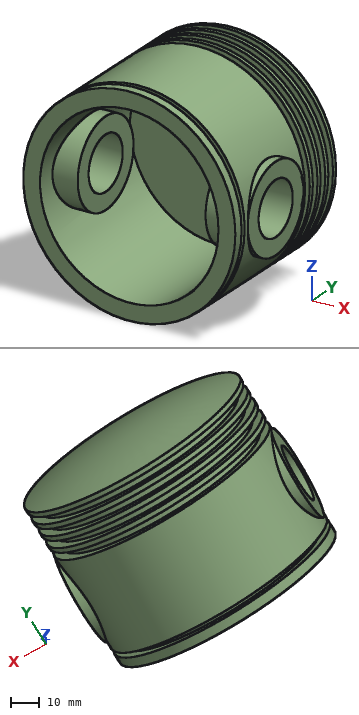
import cadquery as cq
import math

outer_radius = 44.0
wall_thickness = 7.0
bore_radius = outer_radius - wall_thickness
crown_edge_y = 65.0
dome_height = 5.19
bore_depth = crown_edge_y - wall_thickness

groove_depth = 4.0
land_width = 2.0
ring_groove_width = 3.0
ring_groove_count = 4
ring_groove_pitch = ring_groove_width + land_width
top_groove_end_y = crown_edge_y - land_width
skirt_groove_start_y = 4.0
skirt_groove_width = 2.0

pin_y = 26.0
pin_hole_diameter = 22.0
boss_diameter = 36.0
boss_length = 17.5


def make_domed_body():
    """Solid cylinder with a spherical crown, revolved about the Y axis."""
    mid_radius = outer_radius / 2
    sphere_radius = (outer_radius**2 + dome_height**2) / (2 * dome_height)
    sphere_center_y = crown_edge_y + dome_height - sphere_radius
    mid_y = sphere_center_y + math.sqrt(sphere_radius**2 - mid_radius**2)
    return (
        cq.Workplane("XY")
        .lineTo(outer_radius, 0)
        .lineTo(outer_radius, crown_edge_y)
        .threePointArc((mid_radius, mid_y), (0, crown_edge_y + dome_height))
        .close()
        .revolve(360, (0, 0, 0), (0, 1, 0))
    )


def cylinder_along_y(radius, start_y, length):
    start_plane = cq.Workplane("XZ", origin=(0, start_y, 0))
    return start_plane.circle(radius).extrude(-length)


def cylinder_along_pin(diameter, start_x, length):
    start_plane = cq.Workplane("YZ", origin=(start_x, pin_y, 0))
    return start_plane.circle(diameter / 2).extrude(length)


def make_groove(start_y, width):
    """Ring of material to remove for one outside groove."""
    blank = cylinder_along_y(outer_radius + groove_depth, start_y, width)
    core = cylinder_along_y(outer_radius - groove_depth, start_y, width)
    return blank.cut(core)


piston = make_domed_body()
piston = piston.cut(cylinder_along_y(bore_radius, 0, bore_depth))

for groove_index in range(ring_groove_count):
    groove_start_y = top_groove_end_y - ring_groove_width - groove_index * ring_groove_pitch
    piston = piston.cut(make_groove(groove_start_y, ring_groove_width))

piston = piston.cut(make_groove(skirt_groove_start_y, skirt_groove_width))

for boss_start_x in (-outer_radius, outer_radius - boss_length):
    piston = piston.union(cylinder_along_pin(boss_diameter, boss_start_x, boss_length))

result = piston.cut(cylinder_along_pin(pin_hole_diameter, -outer_radius, 2 * outer_radius))